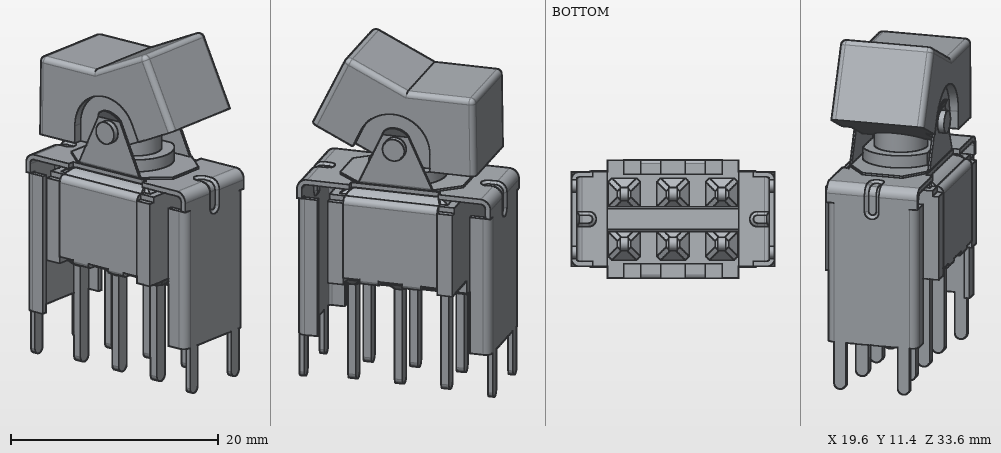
import cadquery as cq
import math


case_length = 12.62
case_width = 11.43
case_bottom = 10.77
case_top = 19.68
corner_block_width = 11.38
corner_top = 19.14
corner_step_width = 10.16
cover_length = 9.5
cover_bottom = 11.47
cover_bend_radius = 0.65
lower_body_width = 8.6
tab_inner_x = 1.2
tab_length = 1.9
tab_bottom = 10.97
tab_radius = 0.35

crown_rise_fraction = 0.7
crown_run_fraction = 0.5
cover_crown_width = 10.0
cover_crown_top_length = 8.5
body_crown_length = 10.9
body_crown_width = 9.1
body_crown_top_length = 8.6
crown_top_width = 7.6

keel_width = 2.4
keel_bottom = 9.33
keel_chamfer = 0.2
pad_bottom = 9.87
pad_top_size = 3.1
pad_bottom_size = 1.3
pad_corner_chamfer = 0.3

terminal_pitch = 4.7
terminal_row_spacing = 4.8
terminal_thickness = 0.8
terminal_width = 1.27

bracket_length = 19.56
bracket_width = 9.12
bracket_top = 20.67
sheet = 0.5
fold_radius = 1.0
flange_radius = 0.76
flange_depth = 2.07
flange_top = 18.7
leg_bottom = 4.7
leg_pin_width = 1.2
notch_length = 9.0
notch_floor_y = 3.9

groove_width = 1.46
groove_floor_width = 0.76
groove_depth = 0.25
groove_end_x = 7.4
groove_end_z = 17.4

yoke_sheet = 0.2
yoke_fold_radius = 0.3
yoke_top = 20.87
yoke_length = 12.44
yoke_end_width = 4.0
arm_outer_y = 4.02
arm_base_width = 7.6
arm_shoulder_width = 2.64
arm_shoulder_z = 26.0
arm_tip_z = 26.94
arm_tip_lean = 0.5

bushing_diameter = 7.6
bushing_width = 6.5
bushing_top = 22.08
stem_diameter = 5.2

pivot_z = 24.75
pivot_diameter = 2.2
pivot_length = 9.3
rocker_angle = 25.0
rocker_width = 9.32
rocker_end_x = 8.28
rocker_draft_angle = 0.9
rocker_bottom = 22.95
rocker_top = 30.86
rocker_edge_radius = 0.55
rocker_recess_radius = 3.7
rocker_recess_floor_y = 3.77
match_tolerance = 0.001


def box(x0, x1, y0, y1, z0, z1):
    return cq.Workplane("XY").box(x1 - x0, y1 - y0, z1 - z0, centered=False).translate((x0, y0, z0))


def centered_box(length, width, z0, z1):
    return box(-length / 2, length / 2, -width / 2, width / 2, z0, z1)


def cylinder(diameter, z0, z1):
    return cq.Workplane("XY", origin=(0, 0, z0)).circle(diameter / 2).extrude(z1 - z0)


def front_prism(outline, depth):
    """Extrude a closed outline drawn on XZ symmetrically along Y."""
    return outline.extrude(depth / 2, both=True)


def crown(base_length, base_width, top_length, top_width):
    """Domed transition from the case top up to the bracket underside."""
    bottom = case_top
    top = bracket_top - sheet
    shoulder_z = bottom + crown_rise_fraction * (top - bottom)

    def arch(plane, base, crest):
        shoulder = base + crown_run_fraction * (crest - base)
        return (
            cq.Workplane(plane)
            .moveTo(-base / 2, bottom)
            .threePointArc((-shoulder / 2, shoulder_z), (-crest / 2, top))
            .lineTo(crest / 2, top)
            .threePointArc((shoulder / 2, shoulder_z), (base / 2, bottom))
            .close()
            .extrude(bracket_length, both=True)
        )

    return arch("XZ", base_length, top_length).intersect(arch("YZ", base_width, top_width))


def make_case():
    body = centered_box(case_length, corner_step_width, case_bottom, case_top)
    body = body.union(centered_box(case_length, corner_block_width, case_bottom, corner_top))
    body = body.cut(centered_box(cover_length, case_width, case_bottom, case_top))
    body = body.union(centered_box(cover_length, lower_body_width, case_bottom, cover_bottom))
    cover = centered_box(cover_length, case_width, cover_bottom, case_top)
    cover = cover.edges("|X and >Z").fillet(cover_bend_radius)
    body = body.union(cover)
    tab_bar = centered_box(tab_length, case_width, tab_bottom, cover_bottom)
    tab_bar = tab_bar.edges("|X and <Z").fillet(tab_radius)
    for side in (-1, 1):
        body = body.union(tab_bar.translate((side * (tab_inner_x + tab_length / 2), 0, 0)))
    body = body.union(crown(cover_length, cover_crown_width, cover_crown_top_length, crown_top_width))
    body = body.union(crown(body_crown_length, body_crown_width, body_crown_top_length, crown_top_width))
    keel = centered_box(case_length, keel_width, keel_bottom, case_bottom)
    return body.union(keel.edges("|X and <Z").chamfer(keel_chamfer))


def blade(thickness, width, top):
    """Flat pin, thin along X, with a fully rounded tip at Z = 0."""
    radius = width / 2
    return (
        cq.Workplane("YZ")
        .moveTo(-radius, top)
        .lineTo(-radius, radius)
        .threePointArc((0, 0), (radius, radius))
        .lineTo(radius, top)
        .close()
        .extrude(thickness / 2, both=True)
    )


def make_terminals():
    pad = (
        cq.Workplane("XY", origin=(0, 0, pad_bottom))
        .rect(pad_bottom_size, pad_bottom_size)
        .workplane(offset=case_bottom - pad_bottom)
        .rect(pad_top_size, pad_top_size)
        .loft(ruled=True)
    )
    pad = pad.edges("not #Z").chamfer(pad_corner_chamfer)
    terminal = blade(terminal_thickness, terminal_width, case_bottom).union(pad)
    terminals = cq.Workplane("XY")
    for column in (-1, 0, 1):
        for row in (-0.5, 0.5):
            place = (column * terminal_pitch, row * terminal_row_spacing, 0)
            terminals = terminals.union(terminal.translate(place))
    return terminals


def groove_solid(inset):
    """Bar of trapezoid section with conical ends, following the left fold.

    The inset is how far its wide face lies below the outer surface of the sheet.
    """
    outer_x = -bracket_length / 2 + inset
    outer_z = bracket_top - inset
    radius = fold_radius - inset
    end_radius = groove_width / 2
    floor_radius = groove_floor_width / 2
    start = (-groove_end_x - end_radius, outer_z)
    end = (outer_x, groove_end_z + end_radius)
    bend_center = (outer_x + radius, outer_z - radius)
    diagonal = radius * math.sqrt(0.5)
    path = (
        cq.Workplane("XZ")
        .moveTo(*start)
        .lineTo(bend_center[0], outer_z)
        .threePointArc((bend_center[0] - diagonal, bend_center[1] + diagonal), (outer_x, bend_center[1]))
        .lineTo(*end)
    )
    bar = (
        cq.Workplane("YZ", origin=(start[0], 0, 0))
        .moveTo(-end_radius, outer_z)
        .lineTo(end_radius, outer_z)
        .lineTo(floor_radius, outer_z - groove_depth)
        .lineTo(-floor_radius, outer_z - groove_depth)
        .close()
        .sweep(path)
    )
    top_cap = cq.Solid.makeCone(
        end_radius, floor_radius, groove_depth, cq.Vector(start[0], 0, outer_z), cq.Vector(0, 0, -1)
    )
    leg_cap = cq.Solid.makeCone(
        end_radius, floor_radius, groove_depth, cq.Vector(outer_x, 0, end[1]), cq.Vector(1, 0, 0)
    )
    return bar.union(cq.Workplane(top_cap)).union(cq.Workplane(leg_cap))


def make_leg_flanges():
    """Channel-shaped lower part of the left leg, its sides folded inward."""
    outer_x = -bracket_length / 2
    half_width = bracket_width / 2
    channel = box(outer_x, outer_x + flange_depth, -half_width, half_width, leg_bottom, flange_top)
    channel = channel.edges("|Z and <X").fillet(flange_radius)
    inner_half_width = half_width - sheet
    hollow = box(outer_x + sheet, 0, -inner_half_width, inner_half_width, leg_bottom, flange_top)
    hollow = hollow.edges("|Z and <X").fillet(flange_radius - sheet)
    return channel.cut(hollow)


def make_bracket():
    fold = centered_box(bracket_length, bracket_width, flange_top, bracket_top)
    fold = fold.edges("|Y and >Z").fillet(fold_radius)
    inside = centered_box(bracket_length - 2 * sheet, bracket_width, flange_top, bracket_top - sheet)
    inside = inside.edges("|Y and >Z").fillet(fold_radius - sheet)
    bracket = fold.cut(inside)
    for side in (-1, 1):
        notch_y = sorted((side * notch_floor_y, side * bracket_width / 2))
        bracket = bracket.cut(box(-notch_length / 2, notch_length / 2, *notch_y, case_top, bracket_top))

    leg = make_leg_flanges()
    pin_y = bracket_width / 2 - flange_radius - leg_pin_width / 2
    pin_x = (sheet - bracket_length) / 2
    for side in (-1, 1):
        leg = leg.union(blade(sheet, leg_pin_width, leg_bottom + sheet).translate((pin_x, side * pin_y, 0)))
    groove = groove_solid(0)
    ridge = groove_solid(sheet)
    for turn in (0, 180):
        bracket = bracket.union(leg.rotate((0, 0, 0), (0, 0, 1), turn))
        bracket = bracket.union(ridge.rotate((0, 0, 0), (0, 0, 1), turn))
        bracket = bracket.cut(groove.rotate((0, 0, 0), (0, 0, 1), turn))
    return bracket


def make_arm():
    """Tapered arm on the -Y side whose rounded tip leans outward."""
    outline = (
        cq.Workplane("XZ")
        .moveTo(-arm_base_width / 2, bracket_top)
        .lineTo(-arm_shoulder_width / 2, arm_shoulder_z)
        .threePointArc((0, arm_tip_z), (arm_shoulder_width / 2, arm_shoulder_z))
        .lineTo(arm_base_width / 2, bracket_top)
        .close()
    )
    outer_y = -arm_outer_y
    inner_y = outer_y + yoke_sheet
    side_profile = [
        (outer_y, bracket_top),
        (outer_y, arm_shoulder_z),
        (outer_y - arm_tip_lean, arm_tip_z),
        (inner_y - arm_tip_lean, arm_tip_z),
        (inner_y, arm_shoulder_z),
        (inner_y, bracket_top),
    ]
    bent_sheet = cq.Workplane("YZ").polyline(side_profile).close().extrude(arm_base_width / 2, both=True)
    return front_prism(outline, case_width).intersect(bent_sheet)


def make_yoke():
    end_x = yoke_length / 2
    end_y = yoke_end_width / 2
    arm_x = arm_base_width / 2
    corner_points = [(end_x, end_y), (arm_x, arm_outer_y), (-arm_x, arm_outer_y), (-end_x, end_y)]
    opposite_points = [(-x, -y) for x, y in corner_points]
    plate = (
        cq.Workplane("XY", origin=(0, 0, bracket_top))
        .polyline(corner_points + opposite_points)
        .close()
        .extrude(yoke_top - bracket_top)
    )
    arm = make_arm()
    yoke = plate.union(arm).union(arm.mirror("XZ"))
    return yoke.edges("|X and <Z").edges("<Y or >Y").fillet(yoke_fold_radius)


def make_bushing():
    bushing = cylinder(bushing_diameter, yoke_top, bushing_top)
    bushing = bushing.intersect(centered_box(bushing_diameter, bushing_width, yoke_top, bushing_top))
    stem = cylinder(stem_diameter, bushing_top, pivot_z)
    return bushing.union(stem)


def reflect(point):
    """Reflect an (x, z) point across the rocker's plane of symmetry, which passes through the pivot."""
    x = point[0]
    z = point[1] - pivot_z
    angle = math.radians(rocker_angle)
    return (-x * math.cos(angle) - z * math.sin(angle), pivot_z - x * math.sin(angle) + z * math.cos(angle))


def touches(edge, corners):
    """Tell whether an edge starts or ends at one of the corners."""
    ends = (edge.startPoint(), edge.endPoint())
    return any((end - corner).Length < match_tolerance for end in ends for corner in corners)


def make_rocker():
    half_angle = math.radians(rocker_angle / 2)
    draft = (rocker_top - rocker_bottom) * math.tan(math.radians(rocker_draft_angle))
    top_middle = (-(rocker_top - pivot_z) * math.tan(half_angle), rocker_top)
    bottom_middle = ((pivot_z - rocker_bottom) * math.tan(half_angle), rocker_bottom)
    bottom_end = (-rocker_end_x, rocker_bottom)
    top_end = (-rocker_end_x + draft, rocker_top)
    points = [bottom_middle, bottom_end, top_end, top_middle, reflect(top_end), reflect(bottom_end)]
    rocker = front_prism(cq.Workplane("XZ").polyline(points).close(), rocker_width)
    top_corners = [
        cq.Vector(x, y, z)
        for x, z in (top_end, reflect(top_end))
        for y in (-rocker_width / 2, rocker_width / 2)
    ]
    rim_edges = [edge for edge in rocker.edges().vals() if touches(edge, top_corners)]
    rocker = rocker.newObject(rim_edges).fillet(rocker_edge_radius)

    recess_crest = (
        -rocker_recess_radius * math.sin(half_angle),
        pivot_z + rocker_recess_radius * math.cos(half_angle),
    )
    recess_outline = (
        cq.Workplane("XZ")
        .moveTo(-rocker_recess_radius, rocker_bottom - rocker_recess_radius)
        .lineTo(-rocker_recess_radius, pivot_z)
        .threePointArc(recess_crest, reflect((-rocker_recess_radius, pivot_z)))
        .lineTo(*reflect((-rocker_recess_radius, rocker_bottom - rocker_recess_radius)))
        .close()
    )
    recess = front_prism(recess_outline, rocker_width)
    recess = recess.cut(centered_box(bracket_length, 2 * rocker_recess_floor_y, 0, 2 * pivot_z))
    pivot = front_prism(cq.Workplane("XZ").center(0, pivot_z).circle(pivot_diameter / 2), pivot_length)
    return rocker.cut(recess).union(pivot)


result = (
    make_case()
    .union(make_terminals())
    .union(make_bracket())
    .union(make_yoke())
    .union(make_bushing())
    .union(make_rocker())
)